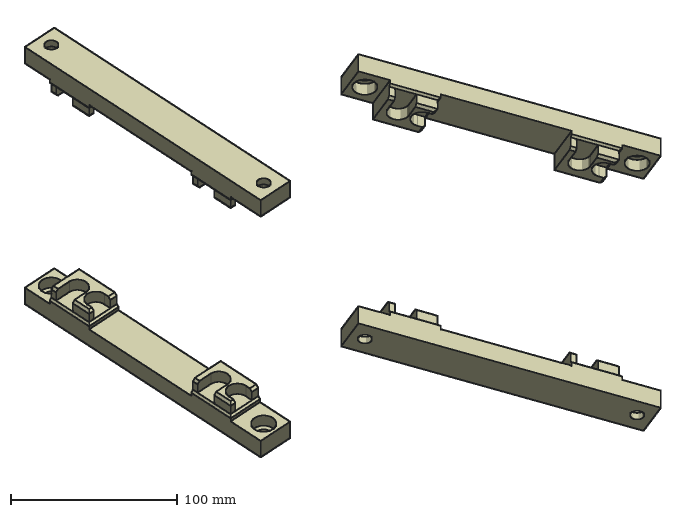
import cadquery as cq

bar_length = 200.0
bar_width = 25.0
bar_thickness = 13.0
stack_height = 204.0

screw_inset = 10.0
screw_diameter = 8.5
counterbore_diameter = 15.0
counterbore_depth = 8.2

pad_inset = 21.0
pad_count = 2
pad_pitch = 120.0
pad_length = 33.5
pad_height = 12.2
pad_foot_height = 2.5
ledge = 1.47
top_chamfer = 1.73

slot_width = 14.0
slot_radius = slot_width / 2
front_slot_x = 11.0
side_slot_x = 26.7

bar_left = -bar_length / 2
bar_front = -bar_width / 2
slot_floor = bar_thickness + pad_foot_height + ledge
pad_top = bar_thickness + pad_height


def make_bar():
    """Plain bar with a counterbored screw hole at each end, outer face on Z = 0."""
    screw_x = bar_length / 2 - screw_inset
    return (
        cq.Workplane("XY")
        .box(bar_length, bar_width, bar_thickness, centered=(True, True, False))
        .faces(">Z")
        .workplane()
        .pushPoints([(-screw_x, 0), (screw_x, 0)])
        .cboreHole(screw_diameter, counterbore_diameter, counterbore_depth)
    )


def make_pad_block(left):
    """Pad whose -Y and +X sides step in over a sloping ledge and end in a chamfer."""
    foot = (
        cq.Workplane("XY", origin=(left, bar_front, bar_thickness))
        .box(pad_length, bar_width, pad_foot_height + ledge, centered=False)
        .edges(">Z and (<Y or >X)")
        .chamfer(ledge)
    )
    upper = (
        cq.Workplane("XY", origin=(left, bar_front + ledge, bar_thickness))
        .box(pad_length - ledge, bar_width - ledge, pad_height, centered=False)
        .edges(">Z and (<Y or >X)")
        .chamfer(top_chamfer)
    )
    return foot.union(upper)


def make_front_slot(left):
    """Slot that enters the pad from its -Y side and ends in a half round."""
    centre_x = left + front_slot_x
    return (
        cq.Workplane("XY", origin=(centre_x, 0, slot_floor))
        .moveTo(-slot_radius, bar_front)
        .lineTo(-slot_radius, 0)
        .threePointArc((0, slot_radius), (slot_radius, 0))
        .lineTo(slot_radius, bar_front)
        .close()
        .extrude(pad_top - slot_floor)
    )


def make_side_slot(left):
    """Slot that enters the pad from its +X side and ends in a half round."""
    reach = pad_length - side_slot_x
    return (
        cq.Workplane("XY", origin=(left + side_slot_x, 0, slot_floor))
        .moveTo(reach, slot_radius)
        .lineTo(0, slot_radius)
        .threePointArc((-slot_radius, 0), (0, -slot_radius))
        .lineTo(reach, -slot_radius)
        .close()
        .extrude(pad_top - slot_floor)
    )


def make_clamp_bar():
    """One complete clamp bar, pads pointing up."""
    clamp_bar = make_bar()
    for index in range(pad_count):
        left = bar_left + pad_inset + index * pad_pitch
        pad = make_pad_block(left).cut(make_front_slot(left)).cut(make_side_slot(left))
        clamp_bar = clamp_bar.union(pad)
    return clamp_bar


lower_clamp_bar = make_clamp_bar()
upper_clamp_bar = lower_clamp_bar.mirror("XY", (0, 0, stack_height / 2))

result = cq.Compound.makeCompound([lower_clamp_bar.val(), upper_clamp_bar.val()])